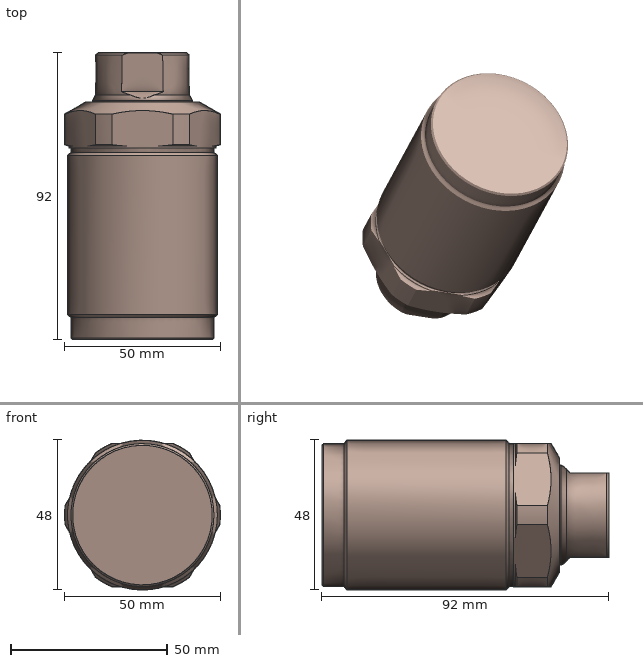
import cadquery as cq
import math

total_length = 92.0

cup_radius = 24.0
end_band_radius = 22.9
neck_radius = 22.9
end_band_length = 7.1
end_chamfer = 0.55
shoulder_chamfer_length = 0.9
body_length = 59.1
cup_length = 61.4

hex_across_flats = 46.0
hex_sides = 6
hex_corner_diameter = 50.0
hex_corner_radius = hex_corner_diameter / 2
hex_front = 62.5
hex_front_chamfer = 0.5
seat_radius = 23.55
hex_back = 76.2
hex_back_radius = 18.2
hex_chamfer_angle = 30.0

collar_radius = 16.0
collar_cone_start = 76.6
nipple_start = 78.4
nipple_front_radius = 15.1
nipple_back_radius = 15.0
nipple_chamfer = 0.8
nipple_flat_height = 13.5
nipple_flat_front = 79.5


def revolve_about_y(profile):
    """Revolve a closed list of (radius, y) points about the Y axis."""
    return cq.Workplane("XY").polyline(profile).close().revolve(360, (0, 0, 0), (0, 1, 0))


def make_cup():
    return revolve_about_y([
        (0, 0),
        (end_band_radius - end_chamfer, 0),
        (end_band_radius, end_chamfer),
        (end_band_radius, end_band_length),
        (cup_radius, end_band_length + shoulder_chamfer_length),
        (cup_radius, body_length),
        (neck_radius, body_length + shoulder_chamfer_length),
        (neck_radius, cup_length),
        (0, cup_length),
    ])


def make_hex():
    """Hexagon with corners on X, rounded and chamfered by a turned envelope."""
    chamfer_length = (hex_corner_radius - hex_back_radius) * math.tan(math.radians(hex_chamfer_angle))
    envelope = revolve_about_y([
        (0, cup_length),
        (seat_radius, cup_length),
        (seat_radius, hex_front - hex_front_chamfer),
        (hex_corner_radius, hex_front),
        (hex_corner_radius, hex_back - chamfer_length),
        (hex_back_radius, hex_back),
        (0, hex_back),
    ])
    across_corners = hex_across_flats / math.cos(math.pi / hex_sides)
    prism = (
        cq.Workplane("XZ", origin=(0, cup_length, 0))
        .polygon(hex_sides, across_corners)
        .extrude(cup_length - hex_back)
    )
    return prism.intersect(envelope)


def make_flat_cutter():
    """Material above the upper flat, with a 45 degree run-out at its front edge."""
    cut_depth = collar_radius - nipple_flat_height
    top = collar_radius
    return (
        cq.Workplane("YZ")
        .polyline([
            (total_length, nipple_flat_height),
            (nipple_flat_front, nipple_flat_height),
            (nipple_flat_front - cut_depth, top),
            (total_length, top),
        ])
        .close()
        .extrude(collar_radius, both=True)
    )


def make_nipple():
    nipple = revolve_about_y([
        (0, hex_back),
        (collar_radius, hex_back),
        (collar_radius, collar_cone_start),
        (nipple_front_radius, nipple_start),
        (nipple_back_radius, total_length - nipple_chamfer),
        (nipple_back_radius - nipple_chamfer, total_length),
        (0, total_length),
    ])
    upper_cutter = make_flat_cutter()
    lower_cutter = upper_cutter.mirror("XY")
    return nipple.cut(upper_cutter).cut(lower_cutter)


def make_fitting():
    return make_hex().union(make_nipple())


cup = make_cup()
fitting = make_fitting()

result = cq.Compound.makeCompound([cup.val(), *fitting.solids().vals()])